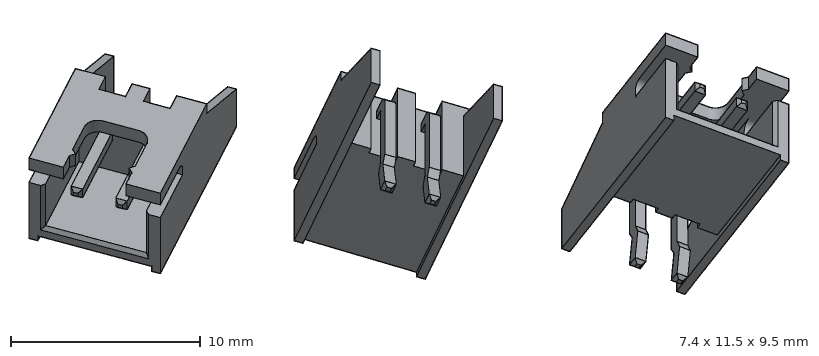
import cadquery as cq
import math


width = 7.4
length = 11.5
height = 6.11
overall_height = 9.5
body_length = 7.0
floor_underside = 0.37
side_plate = 0.5
wing_front_height = 5.37
wing_rear_height = 2.86

roof = 0.89
cavity_wall = 0.86
cavity_floor = 1.09
cavity_depth = 5.21
mouth_chamfer = 0.21
mouth_angle = 45.0
roof_underside = height - roof
cavity_width = width - 2 * cavity_wall

side_slot_depth = 3.35
side_slot_bottom = 4.25
side_slot_radius = 0.5

window_width = 3.52
window_depth = 3.91
window_radius = 0.77
key_distance = 1.15
key_size = 0.25

recess_width = 1.5
recess_face = 6.7
recess_upper_face = 6.01

pin_spacing = 2.51
pin_size = 0.64
pin_height = 3.75
pin_tip = 0.48
pin_rear = 7.91
pin_bottom = height - overall_height
tip_length = 0.21
tip_inset = 0.2
pin_top = pin_height + pin_size / 2
pin_underside = pin_height - pin_size / 2
pin_inner = pin_rear - pin_size
pin_taper_start = pin_bottom + tip_length

kink_start = -0.92
kink_end = -1.47
kink_offset = 0.29
kink_skew = 0.029


def box(x_size, y_min, y_max, z_min, z_max, x_center=0):
    """Box centred on x_center, between the given Y and Z limits."""
    return (
        cq.Workplane("XY", origin=(x_center, (y_min + y_max) / 2, z_min))
        .rect(x_size, y_max - y_min)
        .extrude(z_max - z_min)
    )


def make_shell():
    """Main block with two full-length side plates that form feet and rear wings."""
    plates = (
        cq.Workplane("YZ")
        .moveTo(0, 0)
        .lineTo(length, 0)
        .lineTo(length, wing_rear_height)
        .lineTo(body_length, wing_front_height)
        .lineTo(body_length, height)
        .lineTo(0, height)
        .close()
        .extrude(width / 2, both=True)
    )
    between_plates = width - 2 * side_plate
    plates = plates.cut(box(between_plates, 0, length, 0, height))
    return plates.union(box(between_plates, 0, body_length, floor_underside, height))


def make_cavity():
    """Open-fronted cavity with a chamfered mouth on its floor and side walls."""
    cavity = box(cavity_width, 0, cavity_depth, cavity_floor, roof_underside)
    mouth_bottom = cavity_floor - mouth_chamfer
    mouth_top = roof_underside + mouth_chamfer
    mouth = (
        cq.Workplane("XZ", origin=(0, 0, (mouth_bottom + mouth_top) / 2))
        .rect(cavity_width + 2 * mouth_chamfer, mouth_top - mouth_bottom)
        .extrude(-mouth_chamfer, taper=mouth_angle)
    )
    mouth = mouth.intersect(box(width, 0, mouth_chamfer, 0, roof_underside))
    return cavity.union(mouth)


def make_side_slots():
    """Slot through both side walls with its upper inner corner rounded."""
    slot = box(width, 0, side_slot_depth, side_slot_bottom, roof_underside)
    return slot.edges("|X and >Y and >Z").fillet(side_slot_radius)


def make_window():
    """Roof window open to the front, narrowed by a V-shaped key on each side."""
    window = box(window_width, 0, window_depth, roof_underside, height)
    window = window.edges("|Z and >Y").fillet(window_radius)
    for side in (-1, 1):
        edge = side * window_width / 2
        key = (
            cq.Workplane("XY", origin=(0, 0, roof_underside))
            .moveTo(edge, key_distance - key_size)
            .lineTo(edge - side * key_size, key_distance)
            .lineTo(edge, key_distance + key_size)
            .close()
            .extrude(roof)
        )
        window = window.cut(key)
    return window


def make_recess(x_center):
    """Shallow full-height recess in the rear face, deeper at roof level."""
    lower = box(recess_width, recess_face, body_length, 0, height, x_center)
    upper = box(recess_width, recess_upper_face, body_length, roof_underside, height, x_center)
    return lower.union(upper)


def make_pin(x_center):
    """Square pin: straight contact, rounded bend, kinked solder leg, tapered ends."""
    taper = math.degrees(math.atan(tip_inset / tip_length))
    contact_start = pin_tip + tip_length
    shaft = (
        cq.Workplane("YZ", origin=(x_center, 0, 0))
        .moveTo(contact_start, pin_top)
        .lineTo(pin_inner, pin_top)
        .radiusArc((pin_rear, pin_underside), pin_size)
        .lineTo(pin_rear, kink_start - kink_skew)
        .lineTo(pin_rear - kink_offset, kink_end + kink_skew)
        .lineTo(pin_rear, pin_taper_start)
        .lineTo(pin_inner, pin_taper_start)
        .lineTo(pin_inner - kink_offset, kink_end - kink_skew)
        .lineTo(pin_inner, kink_start + kink_skew)
        .lineTo(pin_inner, pin_underside)
        .lineTo(contact_start, pin_underside)
        .close()
        .extrude(pin_size / 2, both=True)
    )
    contact_tip = (
        cq.Workplane("XZ", origin=(x_center, contact_start, pin_height))
        .rect(pin_size, pin_size)
        .extrude(tip_length, taper=taper)
    )
    solder_tip = (
        cq.Workplane("XY", origin=(x_center, pin_rear - pin_size / 2, pin_taper_start))
        .rect(pin_size, pin_size)
        .extrude(-tip_length, taper=taper)
    )
    return shaft.union(contact_tip).union(solder_tip)


result = make_shell().cut(make_cavity()).cut(make_side_slots()).cut(make_window())
for pin_x in (-pin_spacing / 2, pin_spacing / 2):
    result = result.cut(make_recess(pin_x)).union(make_pin(pin_x))